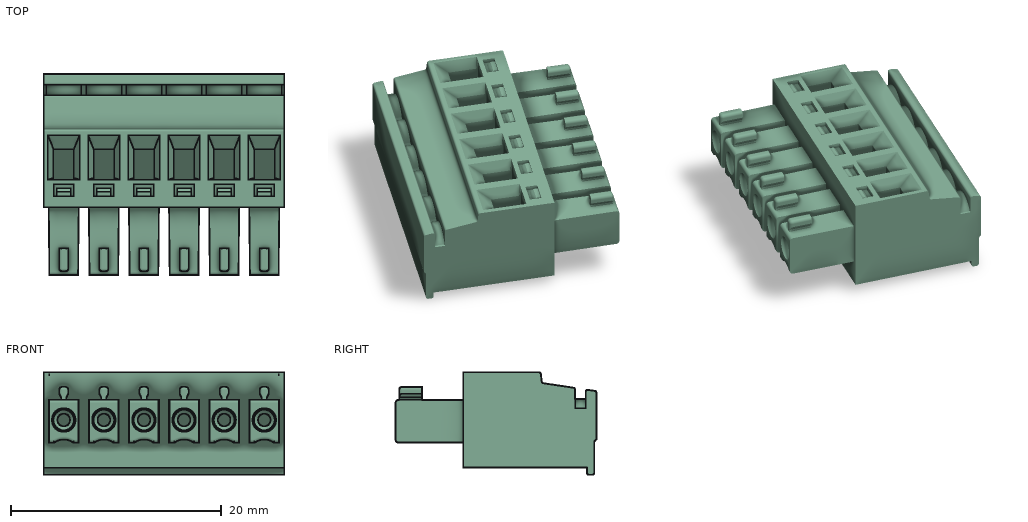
import cadquery as cq
import math


POLES = 6
PITCH = 3.81
LENGTH = POLES * PITCH
POLE_CENTRES = [PITCH * (pole + 0.5) for pole in range(POLES)]

OVERALL_DEPTH = 19.1
OVERALL_HEIGHT = 9.75
DEPTH = 12.68
LIP_DROP = 0.68
TOP = OVERALL_HEIGHT - LIP_DROP
LIP_WIDTH = 0.72
BACK_STEP = 0.2
BACK_STEP_HEIGHT = 2.5
SLOPE = math.tan(math.radians(8.5))
BACK_TOP = 7.28
RIDGE_WIDTH = 1.04
GROOVE_WIDTH = 1.0
GROOVE_FLOOR = 5.63
SHOULDER_Y = DEPTH - 5.3
SHOULDER_LEAN = 0.12
EDGE_ROUND = 0.2

HEAD_RADIUS = 2.0
HEAD_RISE = 0.92

FUNNEL_WIDTH = 3.0
FUNNEL_FRONT = 2.65
FUNNEL_BACK = 6.86
FUNNEL_DEPTH = 1.02
FUNNEL_FOOT_FRONT = 2.8
SHAFT_WIDTH = 1.95
SHAFT_BACK = 5.55
SHAFT_DEPTH = 5.0

WINDOW_WIDTH = 1.9
WINDOW_FRONT = 1.07
WINDOW_BACK = 2.2
WINDOW_DEPTH = 0.45
CATCH_WIDTH = 1.34
CATCH_BACK = 1.85
CATCH_CREST = 1.5
CATCH_HEIGHT = 0.3

PRONG_LENGTH = OVERALL_DEPTH - DEPTH
PRONG_BASE_WIDTH = 2.87
PRONG_TIP_WIDTH = 2.75
PRONG_BOTTOM = 2.38
PRONG_TOP = 6.45
PRONG_ROUND = 0.3
SCALLOP_DIAMETER = 3.0
SCALLOP_RISE = 0.3
SOCKET_HEIGHT = 4.53
SOCKET_MOUTH_DIAMETER = 2.25
SOCKET_DIAMETER = 1.2
SOCKET_TAPER_DEPTH = 1.12
SOCKET_NECK_DIAMETER = 1.96
SOCKET_CONE_DEPTH = 0.4

KEY_WIDTH = 0.86
KEY_NECK_WIDTH = 0.5
KEY_LENGTH = 2.2
KEY_TIP_SETBACK = 0.34
KEY_HEIGHT = 1.22
KEY_NECK_HEIGHT = 0.22
KEY_FLANK_HEIGHT = 0.58
KEY_ROUND = 0.28


def box(x_centre, width, y_range, z_range):
    """Axis-aligned box centred on x_centre."""
    y_start, y_end = y_range
    z_start, z_end = z_range
    return (
        cq.Workplane("XY", origin=(x_centre, 0, z_start))
        .center(0, (y_start + y_end) / 2)
        .rect(width, y_end - y_start)
        .extrude(z_end - z_start)
    )


def surface_height(y):
    """Height of the sloped rear top surface."""
    return BACK_TOP + SLOPE * (DEPTH - y)


def make_housing():
    ridge_front = DEPTH - RIDGE_WIDTH
    groove_front = ridge_front - GROOVE_WIDTH
    lower_back = DEPTH - BACK_STEP
    lip_front = lower_back - LIP_WIDTH
    shoulder_foot = SHOULDER_Y + SHOULDER_LEAN
    lip_corners = [(lip_front, -LIP_DROP), (lower_back, -LIP_DROP)]
    ridge_corners = [(DEPTH, BACK_TOP), (ridge_front, surface_height(ridge_front))]
    shoulder_corners = [
        (groove_front, surface_height(groove_front)),
        (shoulder_foot, surface_height(shoulder_foot)),
        (SHOULDER_Y, TOP),
    ]
    outline = [
        (0, 0),
        (lip_front, 0),
        *lip_corners,
        (lower_back, BACK_STEP_HEIGHT),
        (DEPTH, BACK_STEP_HEIGHT + BACK_STEP),
        *ridge_corners,
        (ridge_front, GROOVE_FLOOR),
        (groove_front, GROOVE_FLOOR),
        *shoulder_corners,
        (0, TOP),
    ]
    housing = cq.Workplane("YZ").polyline(outline).close().extrude(LENGTH)
    for y, z in lip_corners + ridge_corners + shoulder_corners:
        corner_edge = cq.NearestToPointSelector((LENGTH / 2, y, z))
        housing = housing.edges(corner_edge).fillet(EDGE_ROUND)
    return housing


def make_screw_head(x):
    """Cap of a screw head standing on the groove floor."""
    groove_back = DEPTH - RIDGE_WIDTH
    half_chord = math.sqrt(HEAD_RADIUS**2 - (HEAD_RADIUS - HEAD_RISE) ** 2)
    return (
        cq.Workplane("XZ", origin=(x, groove_back, GROOVE_FLOOR))
        .moveTo(-half_chord, 0)
        .threePointArc((0, HEAD_RISE), (half_chord, 0))
        .close()
        .extrude(GROOVE_WIDTH)
    )


def make_funnel(x):
    """Tapered mouth with a straight shaft whose front wall rises to the top face."""
    mouth_centre = (FUNNEL_FRONT + FUNNEL_BACK) / 2
    foot_centre = (FUNNEL_FOOT_FRONT + SHAFT_BACK) / 2
    mouth = (
        cq.Workplane("XY", origin=(x, mouth_centre, TOP))
        .rect(FUNNEL_WIDTH, FUNNEL_BACK - FUNNEL_FRONT)
        .workplane(offset=-FUNNEL_DEPTH)
        .center(0, foot_centre - mouth_centre)
        .rect(SHAFT_WIDTH, SHAFT_BACK - FUNNEL_FOOT_FRONT)
        .loft(ruled=True)
    )
    shaft_floor = TOP - SHAFT_DEPTH
    shaft = box(x, SHAFT_WIDTH, (FUNNEL_FRONT, SHAFT_BACK), (shaft_floor, TOP - FUNNEL_DEPTH))
    front_relief = box(x, SHAFT_WIDTH, (FUNNEL_FRONT, FUNNEL_FOOT_FRONT), (shaft_floor, TOP))
    return mouth.union(shaft).union(front_relief)


def make_window(x):
    """Window recess, less the ramped catch that stays on its floor."""
    floor = TOP - WINDOW_DEPTH
    recess = box(x, WINDOW_WIDTH, (WINDOW_FRONT, WINDOW_BACK), (floor, TOP))
    catch = (
        cq.Workplane("YZ", origin=(x, 0, floor))
        .moveTo(WINDOW_FRONT, 0)
        .lineTo(CATCH_BACK, 0)
        .lineTo(CATCH_CREST, CATCH_HEIGHT)
        .lineTo(WINDOW_FRONT, CATCH_HEIGHT)
        .close()
        .extrude(CATCH_WIDTH / 2, both=True)
    )
    return recess.cut(catch)


def make_prong(x):
    """Drafted prong with a scalloped underside and rounded tip edges."""
    scallop_axis = PRONG_BOTTOM + SCALLOP_RISE - SCALLOP_DIAMETER / 2
    prong = (
        cq.Workplane("XY", origin=(x, 0, PRONG_BOTTOM))
        .moveTo(-PRONG_BASE_WIDTH / 2, 0)
        .lineTo(-PRONG_TIP_WIDTH / 2, -PRONG_LENGTH)
        .lineTo(PRONG_TIP_WIDTH / 2, -PRONG_LENGTH)
        .lineTo(PRONG_BASE_WIDTH / 2, 0)
        .close()
        .extrude(PRONG_TOP - PRONG_BOTTOM)
    )
    scallop = (
        cq.Workplane("XZ", origin=(x, 0, scallop_axis))
        .circle(SCALLOP_DIAMETER / 2)
        .extrude(PRONG_LENGTH)
    )
    tip_outline = prong.cut(scallop).faces("<Y").edges("not |Z")
    return tip_outline.fillet(PRONG_ROUND)


def make_socket(x):
    """Slightly tapered mouth, then a short cone leading into a straight pin hole."""
    neck_y = SOCKET_TAPER_DEPTH - PRONG_LENGTH
    return (
        cq.Workplane("XY", origin=(x, 0, SOCKET_HEIGHT))
        .moveTo(0, -PRONG_LENGTH)
        .lineTo(SOCKET_MOUTH_DIAMETER / 2, -PRONG_LENGTH)
        .lineTo(SOCKET_NECK_DIAMETER / 2, neck_y)
        .lineTo(SOCKET_DIAMETER / 2, neck_y + SOCKET_CONE_DEPTH)
        .lineTo(SOCKET_DIAMETER / 2, 0)
        .lineTo(0, 0)
        .close()
        .revolve(360, (0, 0, 0), (0, 1, 0))
    )


def make_key(x):
    """Rounded key bar standing on a narrower neck."""
    tip = KEY_TIP_SETBACK - PRONG_LENGTH
    bar = box(x, KEY_WIDTH, (tip, tip + KEY_LENGTH), (PRONG_TOP, PRONG_TOP + KEY_HEIGHT))
    bar = bar.edges("(<Y and |Z) or (>Z and (not >Y))").fillet(KEY_ROUND)
    half_bar = KEY_WIDTH / 2
    half_neck = KEY_NECK_WIDTH / 2
    section = [
        (-half_neck, 0),
        (half_neck, 0),
        (half_neck, KEY_NECK_HEIGHT),
        (half_bar, KEY_FLANK_HEIGHT),
        (half_bar, KEY_HEIGHT),
        (-half_bar, KEY_HEIGHT),
        (-half_bar, KEY_FLANK_HEIGHT),
        (-half_neck, KEY_NECK_HEIGHT),
    ]
    envelope = (
        cq.Workplane("XZ", origin=(x, 0, PRONG_TOP)).polyline(section).close().extrude(PRONG_LENGTH)
    )
    return bar.intersect(envelope)


result = make_housing()
for pole_x in POLE_CENTRES:
    result = result.union(make_screw_head(pole_x))
    result = result.union(make_prong(pole_x)).union(make_key(pole_x))
    result = result.cut(make_socket(pole_x))
    result = result.cut(make_funnel(pole_x)).cut(make_window(pole_x))